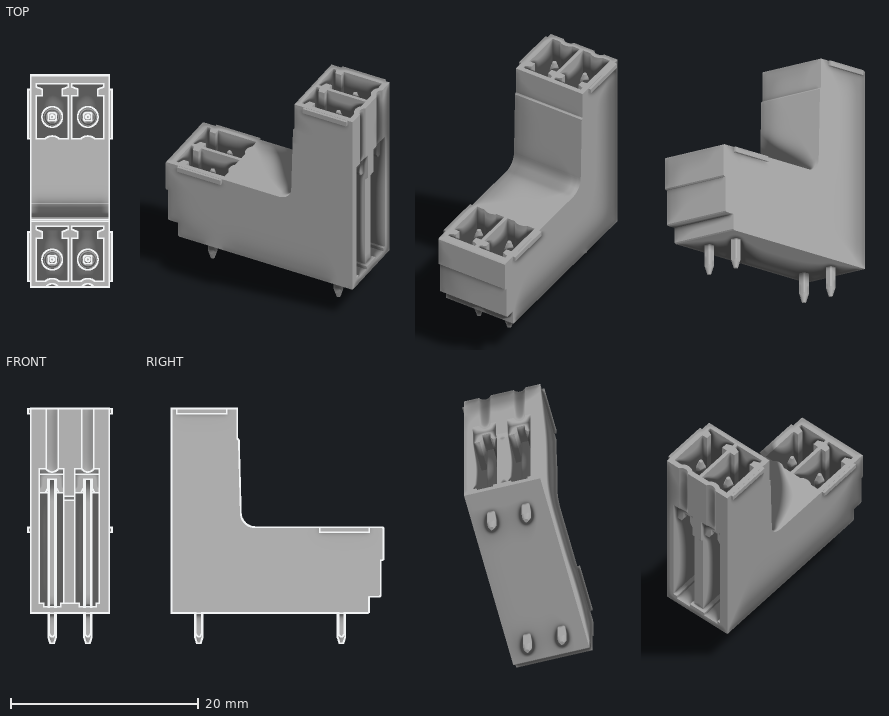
import cadquery as cq


pitch = 3.82
column_x = [-pitch / 2, pitch / 2]
row_spacing = 15.24
front_row_y = 2.94
rear_row_y = front_row_y + row_spacing

housing_width = 8.4
housing_depth = 22.7
tower_top = 21.89
deck_top = 9.2
edge_chamfer = 0.13

tower_depth = 7.05
tower_step = 0.18
tower_step_z = 18.67
tower_foot_depth = 7.48
tower_foot_radius = 1.5

back_step = 0.3
back_step_z = 5.65
foot_depth = 21.13
foot_height = 1.75

tab_width = 0.3
tab_length = 5.3
tab_height = 0.55
tab_drop = 0.03
tab_front_from_pin = -2.33

socket_width = 3.41
socket_front = -2.33
socket_back = 3.56
socket_depth = 6.28
rib_width = 0.65
rib_front = 2.28
rib_tip_back = 2.95
rib_root_back = 3.21
bump_width = 1.53
bump_height = 0.3

collar_base_diameter = 2.18
collar_top_diameter = 1.6
collar_height = 0.45
collar_round = 0.3

groove_width = 1.28
groove_depth = 0.35

front_wall = front_row_y + socket_front
window_width = 2.64
window_shift = -0.08
window_top = 15.44
window_bottom = 1.05
ceiling_z = 12.88
chamber_back = 4.02
channel_width = 1.83
channel_bottom = 0.68
partition_recess = 0.38
partition_recess_top = 12.47

slot_width = 0.9
slot_top = 14.3
flare_width = 1.45
flare_top = 13.35
slot_back = front_row_y + slot_width / 2

pin_width = 0.85
pin_corner = 0.13
overall_height = 25.1
pin_bottom = tower_top - overall_height
pin_tip_below_rim = 0.93
tip_diameter = 0.43
taper_length = 1.0
taper_diameter = 1.05


def box(x_min, x_max, y_min, y_max, z_min, z_max):
    """Block between opposite corners."""
    return (
        cq.Workplane("XY")
        .box(x_max - x_min, y_max - y_min, z_max - z_min, centered=False)
        .translate((x_min, y_min, z_min))
    )


def side_prism(points, x_middle, width):
    """Prism along X from an outline of (Y, Z) points."""
    outline = cq.Workplane("YZ", origin=(x_middle, 0, 0)).polyline(points).close()
    return outline.extrude(width / 2, both=True)


def housing_block():
    """Stepped housing without its openings."""
    step_depth = housing_depth - back_step
    outline = [
        (0, 0),
        (foot_depth - edge_chamfer, 0),
        (foot_depth, edge_chamfer),
        (foot_depth, foot_height),
        (step_depth - edge_chamfer, foot_height),
        (step_depth, foot_height + edge_chamfer),
        (step_depth, back_step_z),
        (housing_depth - edge_chamfer, back_step_z),
        (housing_depth, back_step_z + edge_chamfer),
        (housing_depth, deck_top - edge_chamfer),
        (housing_depth - edge_chamfer, deck_top),
        (tower_foot_depth, deck_top),
        (tower_depth + tower_step, tower_step_z - tower_step),
        (tower_depth, tower_step_z),
        (tower_depth, tower_top),
        (0, tower_top),
    ]
    block = side_prism(outline, 0, housing_width)
    inner_corner = cq.selectors.NearestToPointSelector((0, tower_foot_depth, deck_top))
    return block.edges(inner_corner).fillet(tower_foot_radius)


def side_tabs(row_y, rim_z):
    """Pair of tabs, as one bar across the housing."""
    half_span = housing_width / 2 + tab_width
    front = row_y + tab_front_from_pin
    top = rim_z - tab_drop
    return box(-half_span, half_span, front, front + tab_length, top - tab_height, top)


def socket(x, row_y, rim_z):
    """Keyed socket space, leaving a collar on its floor."""
    half = socket_width / 2
    neck = half - rib_width
    floor_z = rim_z - socket_depth
    space = (
        cq.Workplane("XY", origin=(x, row_y, floor_z))
        .moveTo(-half, socket_front)
        .lineTo(-bump_width / 2, socket_front)
        .threePointArc((0, socket_front + bump_height), (bump_width / 2, socket_front))
        .lineTo(half, socket_front)
        .lineTo(half, rib_front)
        .lineTo(neck, rib_front)
        .lineTo(neck, rib_tip_back)
        .lineTo(half, rib_root_back)
        .lineTo(half, socket_back)
        .lineTo(-half, socket_back)
        .lineTo(-half, rib_root_back)
        .lineTo(-neck, rib_tip_back)
        .lineTo(-neck, rib_front)
        .lineTo(-half, rib_front)
        .close()
        .extrude(socket_depth)
    )
    collar = (
        cq.Workplane("XY", origin=(x, row_y, floor_z))
        .circle(collar_base_diameter / 2)
        .workplane(offset=collar_height)
        .circle(collar_top_diameter / 2)
        .loft()
        .faces(">Z")
        .edges()
        .fillet(collar_round)
    )
    return space.cut(collar)


def front_groove(x):
    """Round groove from the tower top down into the window."""
    return (
        cq.Workplane("XY", origin=(x, 0, ceiling_z))
        .moveTo(-groove_width / 2, 0)
        .threePointArc((0, groove_depth), (groove_width / 2, 0))
        .close()
        .extrude(tower_top - ceiling_z)
    )


def chamber(x):
    """Window with a 45 degree head, chamber with a sunk floor channel, and flared pin slot."""
    outline = [
        (0, window_bottom),
        (chamber_back, window_bottom),
        (chamber_back, ceiling_z),
        (front_wall, ceiling_z),
        (front_wall, window_top - front_wall),
        (0, window_top),
    ]
    space = side_prism(outline, x + window_shift, window_width)
    half_channel = channel_width / 2
    channel = box(x - half_channel, x + half_channel, 0, chamber_back, channel_bottom, window_bottom)
    slot = (
        cq.Workplane("XZ", origin=(x, front_wall, 0))
        .moveTo(-flare_width / 2, ceiling_z)
        .lineTo(flare_width / 2, ceiling_z)
        .lineTo(slot_width / 2, flare_top)
        .lineTo(slot_width / 2, slot_top)
        .lineTo(-slot_width / 2, slot_top)
        .lineTo(-slot_width / 2, flare_top)
        .close()
        .extrude(front_wall - slot_back)
    )
    return space.union(channel).union(slot)


def partition_relief():
    """Recess in the front of the partition between the chambers, with a 45 degree head."""
    outline = [
        (0, window_bottom),
        (partition_recess, window_bottom),
        (partition_recess, partition_recess_top - partition_recess),
        (0, partition_recess_top),
    ]
    return side_prism(outline, window_shift, pitch - window_width)


def pin(x, row_y, rim_z):
    """Square pin with bevelled corners and a conical point at each end."""
    top = rim_z - pin_tip_below_rim
    shaft = (
        cq.Workplane("XY", origin=(x, row_y, pin_bottom))
        .rect(pin_width, pin_width)
        .extrude(top - pin_bottom)
        .edges("|Z")
        .chamfer(pin_corner)
    )
    pointed_bar = (
        cq.Workplane("XZ", origin=(x, row_y, 0))
        .moveTo(0, pin_bottom)
        .lineTo(tip_diameter / 2, pin_bottom)
        .lineTo(taper_diameter / 2, pin_bottom + taper_length)
        .lineTo(taper_diameter / 2, top - taper_length)
        .lineTo(tip_diameter / 2, top)
        .lineTo(0, top)
        .close()
        .revolve(360, (0, 0, 0), (0, 1, 0))
    )
    return shaft.intersect(pointed_bar)


rows = [(front_row_y, tower_top), (rear_row_y, deck_top)]

pins = []
for pin_row_y, pin_rim_z in rows:
    for pin_x in column_x:
        pins.append(pin(pin_x, pin_row_y, pin_rim_z).val())

housing = housing_block()
for socket_row_y, socket_rim_z in rows:
    housing = housing.union(side_tabs(socket_row_y, socket_rim_z))
    for socket_x in column_x:
        housing = housing.cut(socket(socket_x, socket_row_y, socket_rim_z))
for chamber_x in column_x:
    housing = housing.cut(front_groove(chamber_x))
    housing = housing.cut(chamber(chamber_x))
housing = housing.cut(partition_relief())
for fitted_pin in pins:
    housing = housing.cut(cq.Workplane(fitted_pin))

result = cq.Compound.makeCompound([housing.val(), *pins])